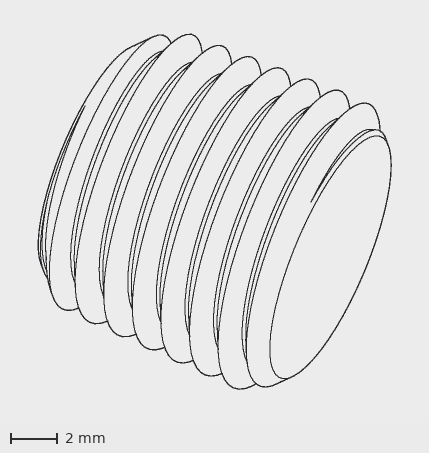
import cadquery as cq
import math

length = 11.43
threads_along_length = 8.1
crest_radius_small_end = 6.49
taper_per_side = 1 / 32
thread_half_angle = math.radians(30)
crest_position = 2.85
small_face_radius = 5.27
large_face_radius = 5.62
blank_radius = 7.49

pitch = length / threads_along_length
root_flat = pitch / 8
thread_depth = (pitch - root_flat) / (2 * math.tan(thread_half_angle))
ridge_overlap = 0.04
ridge_height = thread_depth + ridge_overlap
ridge_half_base = ridge_height * math.tan(thread_half_angle)

lead_in_turns = 3
ridge_turns = 10
ridge_start = crest_position - lead_in_turns * pitch
core_overrun = 4.08


def crest_radius(x):
    return crest_radius_small_end + taper_per_side * x


def conical_helix(axial_shift, depth):
    """Helix about Z, offset from the crest along the axis and toward it."""
    start = ridge_start + axial_shift
    return cq.Wire.makeHelix(
        pitch,
        ridge_turns * pitch,
        crest_radius(start) - depth,
        center=cq.Vector(0, 0, start),
        angle=math.degrees(math.atan(taper_per_side)),
    )


def thread_ridge():
    """Triangular ridge bounded by ruled strips between three helices."""
    edges = [
        conical_helix(-ridge_half_base, ridge_height),
        conical_helix(0, 0),
        conical_helix(ridge_half_base, ridge_height),
    ]
    strips = [cq.Face.makeRuledSurface(edges[i - 1], edges[i]) for i in range(3)]
    ends = []
    for at_end in (0, 1):
        corners = [edge.positionAt(at_end) for edge in edges]
        ends.append(cq.Face.makeFromWires(cq.Wire.makePolygon(corners, close=True)))
    shell = cq.Shell.makeShell(strips + ends)
    ridge = cq.Solid.makeSolid(shell)
    return cq.Workplane(obj=ridge.rotate(cq.Vector(), cq.Vector(0, 1, 0), 90))


def root_core():
    """Tapered core at the thread root, longer than the plug."""
    start = -core_overrun
    end = length + core_overrun
    return (
        cq.Workplane("XY")
        .moveTo(start, 0)
        .lineTo(start, crest_radius(start) - thread_depth)
        .lineTo(end, crest_radius(end) - thread_depth)
        .lineTo(end, 0)
        .close()
        .revolve(360, (0, 0, 0), (1, 0, 0))
    )


def chamfered_blank():
    """Cylinder with 45 degree chamfers that trims the thread at both ends."""
    return (
        cq.Workplane("XY")
        .lineTo(0, small_face_radius)
        .lineTo(blank_radius - small_face_radius, blank_radius)
        .lineTo(length - (blank_radius - large_face_radius), blank_radius)
        .lineTo(length, large_face_radius)
        .lineTo(length, 0)
        .close()
        .revolve(360, (0, 0, 0), (1, 0, 0))
    )


result = root_core().union(thread_ridge()).intersect(chamfered_blank())